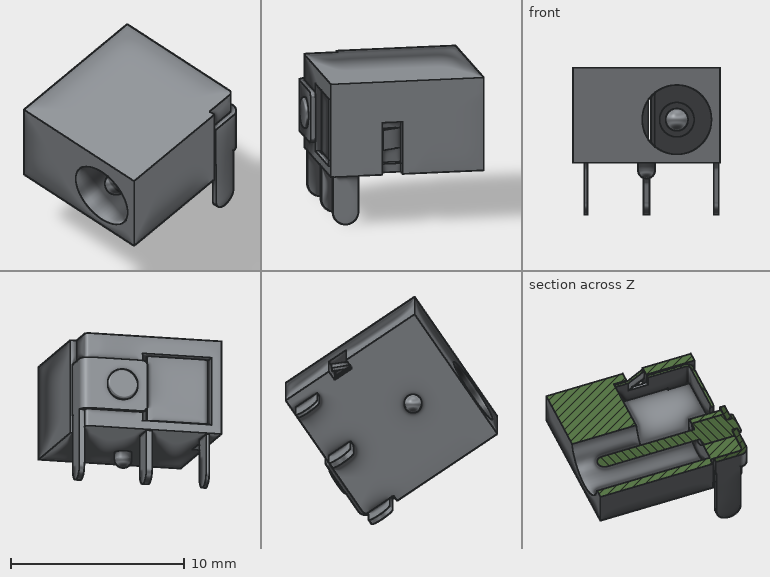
import cadquery as cq
import math


HOUSING_WIDTH = 8.5
HOUSING_DEPTH = 9.01
HOUSING_HEIGHT = 5.5
TOTAL_DEPTH = 9.5
BACK_CORNER_RADIUS = 0.25

BORE_RADIUS = 2.0
BORE_X = 6.0
BORE_Z = 2.5
BORE_DEPTH = 7.0

PEG_X = HOUSING_WIDTH / 2
PEG_Y = 3.0
PEG_RADIUS = 0.5
PEG_STRAIGHT = 0.4

WALL = 0.6
CAVITY_RIGHT = 4.73
CAVITY_FRONT = 4.0
CAVITY_BOTTOM = 0.5
CAVITY_TOP = 2 * BORE_Z - CAVITY_BOTTOM
WINDOW_FRONT = 4.78
WINDOW_BACK = 5.985
WINDOW_TOP = 3.1

LEG_LENGTH = 3.0
LEG_FRONT = 7.25
LEG_WIDTH = 1.5
LEG_BACK = LEG_FRONT + LEG_WIDTH

SPRING_THICKNESS = 0.2
SPRING_LEFT = 0.66
SPRING_CLEARANCE = 0.095
SPRING_BOTTOM = CAVITY_BOTTOM + SPRING_CLEARANCE
SPRING_TOP = CAVITY_TOP - SPRING_CLEARANCE
SPRING_BEND_RADIUS = 0.2
CURL_START = 4.05
CURL_RADIUS = 0.475
CURL_TIP = 4.36
BARB_BOTTOM = 1.425
BARB_TOP = 2.61
BARB_ROOT = 4.77
BARB_LENGTH = 1.235
BARB_TILT = 25.0

SWITCH_THICKNESS = 0.35

BRACKET_THICKNESS = 0.3
BRACKET_LEFT = 4.5
BRACKET_RIGHT = 8.44
BRACKET_BOTTOM = 1.0
BRACKET_TOP = 4.0
BRACKET_CORNER_RADIUS = 0.3
BRACKET_FRONT = 7.2
BRACKET_INNER = BRACKET_RIGHT - BRACKET_THICKNESS
BRACKET_BACK = HOUSING_DEPTH + BRACKET_THICKNESS
NOTCH_FRONT = 7.0

PIN_RADIUS = 0.65
PIN_TIP_Y = 0.6
COLLAR_RADIUS = 1.0
HEAD_RADIUS = 0.9
HEAD_ROUND = 0.14


def box(x0, x1, y0, y1, z0, z1):
    """Axis-aligned block between the given limits."""
    return cq.Workplane("XY").box(x1 - x0, y1 - y0, z1 - z0, centered=False).translate((x0, y0, z0))


def y_cylinder(radius, y0, y1):
    """Cylinder on the bore axis between two depths."""
    return (
        cq.Workplane("XZ", origin=(BORE_X, y0, BORE_Z))
        .circle(radius)
        .extrude(y0 - y1)
    )


def make_leg(x0, thickness, top):
    """Flat solder leg with a round lower end, reaching up to the given height."""
    radius = LEG_WIDTH / 2
    return (
        cq.Workplane("YZ", origin=(x0, 0, 0))
        .moveTo(LEG_FRONT, top)
        .lineTo(LEG_FRONT, radius - LEG_LENGTH)
        .threePointArc((LEG_FRONT + radius, -LEG_LENGTH), (LEG_BACK, radius - LEG_LENGTH))
        .lineTo(LEG_BACK, top)
        .close()
        .extrude(thickness)
    )


def make_peg():
    """Locating peg with a hemispherical end."""
    shank = cq.Workplane("XY", origin=(PEG_X, PEG_Y, 0)).circle(PEG_RADIUS).extrude(-PEG_STRAIGHT)
    dome = cq.Workplane("XY", origin=(PEG_X, PEG_Y, -PEG_STRAIGHT)).sphere(PEG_RADIUS)
    lower_half = box(0, HOUSING_WIDTH, 0, HOUSING_DEPTH, -LEG_LENGTH, -PEG_STRAIGHT)
    return shank.union(dome.intersect(lower_half))


def make_spring_terminal():
    """Side plate with a lanced barb, a leg, and a leaf across the back that curls into the bore."""
    plate_inner = SPRING_LEFT + SPRING_THICKNESS
    leaf_front = LEG_BACK - SPRING_THICKNESS
    outer_bend = SPRING_BEND_RADIUS + SPRING_THICKNESS
    curl_center_y = leaf_front - CURL_RADIUS

    def curl_point(radius, angle):
        """Point on a face of the curl, at an angle turned from the flat leaf."""
        return (CURL_START + radius * math.sin(angle), curl_center_y + radius * math.cos(angle))

    outer_radius = CURL_RADIUS + SPRING_THICKNESS
    inner_angle = math.asin((CURL_TIP - CURL_START) / CURL_RADIUS)
    outer_angle = math.asin((CURL_TIP - CURL_START) / outer_radius)
    strip = (
        cq.Workplane("XY", origin=(0, 0, SPRING_BOTTOM))
        .moveTo(SPRING_LEFT, CAVITY_FRONT)
        .lineTo(SPRING_LEFT, LEG_BACK - outer_bend)
        .radiusArc((SPRING_LEFT + outer_bend, LEG_BACK), outer_bend)
        .lineTo(CURL_START, LEG_BACK)
        .threePointArc(curl_point(outer_radius, outer_angle / 2), curl_point(outer_radius, outer_angle))
        .lineTo(*curl_point(CURL_RADIUS, inner_angle))
        .threePointArc(curl_point(CURL_RADIUS, inner_angle / 2), (CURL_START, leaf_front))
        .lineTo(plate_inner + SPRING_BEND_RADIUS, leaf_front)
        .radiusArc((plate_inner, leaf_front - SPRING_BEND_RADIUS), -SPRING_BEND_RADIUS)
        .lineTo(plate_inner, CAVITY_FRONT)
        .close()
        .extrude(SPRING_TOP - SPRING_BOTTOM)
    )

    tilt = math.radians(BARB_TILT)
    lance_opening = box(SPRING_LEFT, plate_inner, BARB_ROOT, BARB_ROOT + BARB_LENGTH, BARB_BOTTOM, BARB_TOP)
    barb_end = (SPRING_LEFT - BARB_LENGTH * math.sin(tilt), BARB_ROOT + BARB_LENGTH * math.cos(tilt))
    barb_end_inner = (
        barb_end[0] + SPRING_THICKNESS * math.cos(tilt),
        barb_end[1] + SPRING_THICKNESS * math.sin(tilt),
    )
    barb = (
        cq.Workplane("XY", origin=(0, 0, BARB_BOTTOM))
        .polyline([(SPRING_LEFT, BARB_ROOT), barb_end, barb_end_inner, (plate_inner, BARB_ROOT)])
        .close()
        .extrude(BARB_TOP - BARB_BOTTOM)
    )
    leg = make_leg(SPRING_LEFT, SPRING_THICKNESS, SPRING_BOTTOM)
    return strip.cut(lance_opening).union(barb).union(leg)


def make_switch_terminal():
    """Middle leg, set in the cavity floor and flush with it."""
    return make_leg(PEG_X - SWITCH_THICKNESS / 2, SWITCH_THICKNESS, CAVITY_BOTTOM)


def make_bracket():
    """Angle plate around the back right corner of the housing, with a leg on its side."""
    outer_bend = BACK_CORNER_RADIUS + BRACKET_THICKNESS
    angle = (
        cq.Workplane("XY", origin=(0, 0, BRACKET_BOTTOM))
        .moveTo(BRACKET_LEFT, HOUSING_DEPTH)
        .lineTo(BRACKET_LEFT, BRACKET_BACK)
        .lineTo(BRACKET_RIGHT - outer_bend, BRACKET_BACK)
        .radiusArc((BRACKET_RIGHT, BRACKET_BACK - outer_bend), outer_bend)
        .lineTo(BRACKET_RIGHT, BRACKET_FRONT)
        .lineTo(BRACKET_INNER, BRACKET_FRONT)
        .lineTo(BRACKET_INNER, HOUSING_DEPTH - BACK_CORNER_RADIUS)
        .radiusArc((BRACKET_INNER - BACK_CORNER_RADIUS, HOUSING_DEPTH), -BACK_CORNER_RADIUS)
        .close()
        .extrude(BRACKET_TOP - BRACKET_BOTTOM)
        .edges("|Y and <X")
        .fillet(BRACKET_CORNER_RADIUS)
    )
    leg = make_leg(BRACKET_INNER, BRACKET_THICKNESS, BRACKET_BOTTOM)
    rivet_hole = y_cylinder(PIN_RADIUS, HOUSING_DEPTH, BRACKET_BACK)
    return angle.union(leg).cut(rivet_hole)


def make_pin():
    """Contact pin with a round tip, a collar in the bore floor and a rivet head behind the bracket."""
    tip_center_y = PIN_TIP_Y + PIN_RADIUS
    tip = cq.Workplane("XY", origin=(BORE_X, tip_center_y, BORE_Z)).sphere(PIN_RADIUS)
    shank = y_cylinder(PIN_RADIUS, tip_center_y, BRACKET_BACK)
    collar = y_cylinder(COLLAR_RADIUS, BORE_DEPTH, HOUSING_DEPTH)
    head = y_cylinder(HEAD_RADIUS, BRACKET_BACK, TOTAL_DEPTH).edges(">Y").fillet(HEAD_ROUND)
    return shank.union(tip).union(collar).union(head)


def make_housing():
    """Block with the plug bore, contact cavity, window, bracket notch, leg slots and peg."""
    block = (
        cq.Workplane("XY")
        .moveTo(0, 0)
        .lineTo(HOUSING_WIDTH, 0)
        .lineTo(HOUSING_WIDTH, NOTCH_FRONT)
        .lineTo(BRACKET_INNER, NOTCH_FRONT)
        .lineTo(BRACKET_INNER, HOUSING_DEPTH - BACK_CORNER_RADIUS)
        .radiusArc((BRACKET_INNER - BACK_CORNER_RADIUS, HOUSING_DEPTH), -BACK_CORNER_RADIUS)
        .lineTo(0, HOUSING_DEPTH)
        .close()
        .extrude(HOUSING_HEIGHT)
    )

    bore = y_cylinder(BORE_RADIUS, 0, BORE_DEPTH)
    collar_hole = y_cylinder(COLLAR_RADIUS, BORE_DEPTH, HOUSING_DEPTH)
    cavity = box(WALL, CAVITY_RIGHT, CAVITY_FRONT, HOUSING_DEPTH, CAVITY_BOTTOM, CAVITY_TOP)
    window = box(0, WALL, WINDOW_FRONT, WINDOW_BACK, 0, WINDOW_TOP)
    block = block.cut(bore).cut(collar_hole).cut(cavity).cut(window)

    spring_slot = make_leg(SPRING_LEFT, SPRING_THICKNESS, CAVITY_BOTTOM)
    return block.cut(spring_slot).cut(make_switch_terminal()).union(make_peg())


housing = make_housing()
pin = make_pin()
bracket = make_bracket()
spring_terminal = make_spring_terminal()
switch_terminal = make_switch_terminal()

result = cq.Compound.makeCompound([
    housing.val(),
    pin.val(),
    bracket.val(),
    spring_terminal.val(),
    switch_terminal.val(),
])